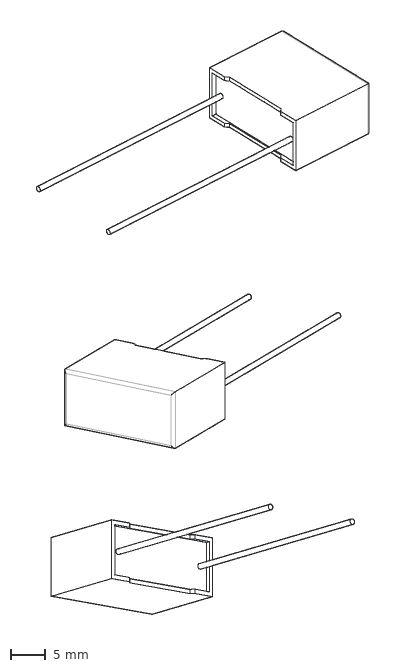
import cadquery as cq

total_length = 49.6
case_width = 18.5
case_length = 14.6
case_height = 8.75
side_wall = 0.6
flat_wall = 0.65
back_wall = 0.6
back_fillet = 0.5

relief_depth = 0.5
relief_mouth_width = 12.0
relief_floor_width = relief_mouth_width - 2 * relief_depth

resin_recess = 0.7
lead_pitch = 15.0
lead_diameter = 0.85
lead_embedding = 1.0

back_y = total_length / 2
rim_y = back_y - case_length
resin_y = rim_y + resin_recess
lead_tip_y = -total_length / 2
lead_end_y = resin_y + lead_embedding

cavity_width = case_width - 2 * side_wall
cavity_height = case_height - 2 * flat_wall
cavity_end_y = back_y - back_wall


def block_along_y(width, height, start_y, end_y):
    """Box centred on X and Z, running from start_y to end_y."""
    length = end_y - start_y
    return cq.Workplane("XY").box(width, length, height).translate((0, start_y + length / 2, 0))


def make_rim_relief():
    """Trapezoid cutter through both flat walls at the open rim."""
    floor_y = rim_y + relief_depth
    outline = [
        (-relief_mouth_width / 2, rim_y),
        (relief_mouth_width / 2, rim_y),
        (relief_floor_width / 2, floor_y),
        (-relief_floor_width / 2, floor_y),
    ]
    return cq.Workplane("XY").polyline(outline).close().extrude(case_height / 2, both=True)


def make_case():
    """Open box with rounded back edges and a relieved rim."""
    shell = block_along_y(case_width, case_height, rim_y, back_y)
    shell = shell.faces(">Y").edges().fillet(back_fillet)
    cavity = block_along_y(cavity_width, cavity_height, rim_y, cavity_end_y)
    return shell.cut(cavity).cut(make_rim_relief())


def make_lead(x):
    """Round straight wire from its free tip into the resin."""
    wire = cq.Workplane("XZ").circle(lead_diameter / 2).extrude(lead_tip_y - lead_end_y)
    return wire.translate((x, lead_tip_y, 0))


def make_resin(leads):
    """Fill of the case cavity, with a matching hole for each lead."""
    resin = block_along_y(cavity_width, cavity_height, resin_y, cavity_end_y)
    for lead in leads:
        resin = resin.cut(lead)
    return resin


case = make_case()
leads = [make_lead(side * lead_pitch / 2) for side in (-1, 1)]
resin = make_resin(leads)

result = cq.Compound.makeCompound([case.val(), resin.val(), *[lead.val() for lead in leads]])